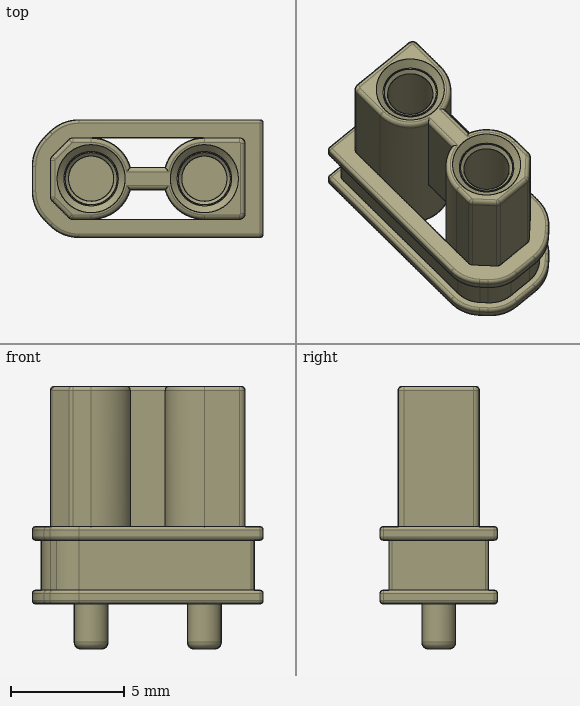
import cadquery as cq
import math

pin_length = 2.0
flange_thickness = 0.6
waist_height = 2.2
tower_height = 6.2
base_height = 2 * flange_thickness + waist_height
top_z = base_height + tower_height

flange_length = 10.2
flange_width = 5.2
waist_inset = 0.4
tower_inset = 0.8
tower_length = flange_length - 2 * tower_inset
tower_width = flange_width - 2 * tower_inset

tower_corner_cut = 0.89
flange_corner_cut = 1.31
flange_round_radius = 1.8
base_square_radius = 0.15
tower_vertical_radius = 0.25

flange_edge_radius = 0.15
tower_edge_radius = 0.2

socket_spacing = 5.0
socket_x = socket_spacing / 2
tube_radius = tower_width / 2
web_thickness = 1.0
entry_diameter = 3.0
contact_setback = 0.3

barrel_diameter = 2.4
bore_diameter = 2.0
pin_diameter = 1.5
pin_tip_radius = 0.3
mouth_chamfer = 0.15
bore_depth = 5.0


def base_layer(inset, height, bottom_z):
    """One layer of the base: cut and rounded corners at -X, nearly square at +X."""
    end_x = flange_length / 2 - inset
    side_y = flange_width / 2 - inset
    cut = flange_corner_cut - inset * (2 - math.sqrt(2))
    layer = (
        cq.Workplane("XY", origin=(0, 0, bottom_z))
        .polyline([
            (end_x, -side_y),
            (end_x, side_y),
            (cut - end_x, side_y),
            (-end_x, side_y - cut),
            (-end_x, cut - side_y),
            (cut - end_x, -side_y),
        ])
        .close()
        .extrude(height)
    )
    layer = layer.edges("|Z and (not >X)").fillet(flange_round_radius - inset)
    return layer.edges("|Z and >X").fillet(base_square_radius)


def flange(bottom_z):
    plate = base_layer(0, flange_thickness, bottom_z)
    return plate.faces("<Z or >Z").edges().fillet(flange_edge_radius)


def window():
    """Opening through the base between the two round socket walls."""
    inner_x = socket_x - tube_radius
    return (
        cq.Workplane("XY")
        .moveTo(-socket_x, tube_radius)
        .lineTo(socket_x, tube_radius)
        .threePointArc((inner_x, 0), (socket_x, -tube_radius))
        .lineTo(-socket_x, -tube_radius)
        .threePointArc((-inner_x, 0), (-socket_x, tube_radius))
        .close()
        .extrude(base_height)
    )


def tower():
    """Two socket walls, cut corners at -X and square at +X, joined by a web."""
    end_x = tower_length / 2
    web_y = web_thickness / 2
    web_x = socket_x - math.sqrt(tube_radius**2 - web_y**2)
    arc_x = socket_x - tube_radius * math.sin(math.pi / 4)
    arc_y = tube_radius * math.cos(math.pi / 4)
    body = (
        cq.Workplane("XY", origin=(0, 0, base_height))
        .moveTo(-end_x, tower_corner_cut - tube_radius)
        .lineTo(tower_corner_cut - end_x, -tube_radius)
        .lineTo(-socket_x, -tube_radius)
        .threePointArc((-arc_x, -arc_y), (-web_x, -web_y))
        .lineTo(web_x, -web_y)
        .threePointArc((arc_x, -arc_y), (socket_x, -tube_radius))
        .lineTo(end_x, -tube_radius)
        .lineTo(end_x, tube_radius)
        .lineTo(socket_x, tube_radius)
        .threePointArc((arc_x, arc_y), (web_x, web_y))
        .lineTo(-web_x, web_y)
        .threePointArc((-arc_x, arc_y), (-socket_x, tube_radius))
        .lineTo(tower_corner_cut - end_x, tube_radius)
        .lineTo(-end_x, tube_radius - tower_corner_cut)
        .close()
        .extrude(tower_height)
    )
    corner_limit_x = socket_x + tower_vertical_radius
    corners = body.edges("|Z").filter(lambda edge: abs(edge.Center().x) > corner_limit_x)
    body = corners.fillet(tower_vertical_radius)
    return body.faces(">Z").edges().fillet(tower_edge_radius)


def contact_bore():
    """Pin hole, barrel hole and tapered entry, turned about the Z axis."""
    return (
        cq.Workplane("XZ")
        .polyline([
            (0, 0),
            (pin_diameter / 2, 0),
            (pin_diameter / 2, base_height),
            (barrel_diameter / 2, base_height),
            (barrel_diameter / 2, top_z - contact_setback),
            (entry_diameter / 2, top_z),
            (0, top_z),
        ])
        .close()
        .revolve(360, (0, 0, 0), (0, 1, 0))
    )


def housing_body():
    """Base, tower and window in one piece, with a stepped bore for each contact."""
    upper_flange_z = base_height - flange_thickness
    body = (
        flange(0)
        .union(base_layer(waist_inset, waist_height, flange_thickness))
        .union(flange(upper_flange_z))
        .cut(window())
        .union(tower())
    )
    for x in (-socket_x, socket_x):
        body = body.cut(contact_bore().translate((x, 0, 0)))
    return body


def contact(x):
    """Socket barrel resting on the base level, with a solder pin below it."""
    barrel_length = tower_height - contact_setback
    pin = (
        cq.Workplane("XY", origin=(x, 0, -pin_length))
        .circle(pin_diameter / 2)
        .extrude(pin_length + base_height)
        .faces("<Z")
        .edges()
        .fillet(pin_tip_radius)
    )
    barrel = (
        cq.Workplane("XY", origin=(x, 0, base_height))
        .circle(barrel_diameter / 2)
        .extrude(barrel_length)
        .faces(">Z")
        .workplane()
        .hole(bore_diameter, bore_depth)
    )
    mouth = barrel.faces(">Z").edges(cq.selectors.RadiusNthSelector(0))
    barrel = mouth.chamfer(mouth_chamfer)
    return pin.union(barrel)


housing = housing_body()
contacts = [contact(x) for x in (-socket_x, socket_x)]

result = cq.Compound.makeCompound([housing.val(), *(item.val() for item in contacts)])